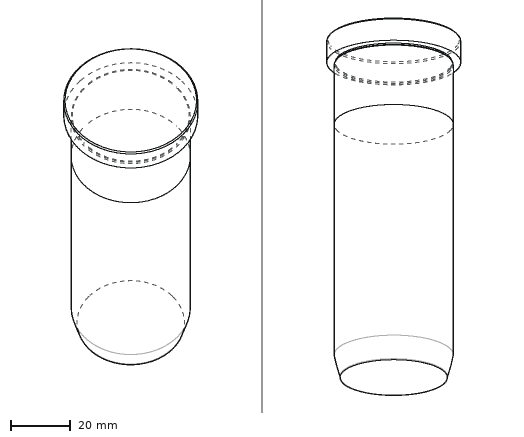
import cadquery as cq

total_length = 120.0
head_diameter = 45.0
shank_diameter = 40.0

head_height = 8.0
head_chamfer = 0.5
groove_width = 0.8
groove_depth = 0.4

upper_length = 30.0
nose_length = 8.0

nose_tip_diameter = 36.0
nose_mid_inset = 0.8
nose_land = 0.4

head_radius = head_diameter / 2
shank_radius = shank_diameter / 2
groove_radius = shank_radius - groove_depth
nose_tip_radius = nose_tip_diameter / 2
joint_z = total_length - upper_length
head_bottom_z = total_length - head_height
groove_bottom_z = head_bottom_z - groove_width


def make_headed_section():
    """Chamfered head with the upper shank and its relief groove."""
    profile = (
        cq.Workplane("XZ")
        .moveTo(0, joint_z)
        .lineTo(shank_radius, joint_z)
        .lineTo(shank_radius, groove_bottom_z)
        .lineTo(groove_radius, groove_bottom_z + groove_depth)
        .lineTo(groove_radius, head_bottom_z)
        .lineTo(head_radius, head_bottom_z)
        .lineTo(head_radius, total_length - head_chamfer)
        .lineTo(head_radius - head_chamfer, total_length)
        .lineTo(0, total_length)
        .close()
    )
    return profile.revolve(360, (0, 0, 0), (0, 1, 0))


def make_guide_section():
    """Lower shank ending in a slightly convex, narrowing nose."""
    profile = (
        cq.Workplane("XZ")
        .lineTo(nose_tip_radius, 0)
        .lineTo(nose_tip_radius, nose_land)
        .threePointArc(
            (shank_radius - nose_mid_inset, (nose_land + nose_length) / 2),
            (shank_radius, nose_length),
        )
        .lineTo(shank_radius, joint_z)
        .lineTo(0, joint_z)
        .close()
    )
    return profile.revolve(360, (0, 0, 0), (0, 1, 0))


headed_section = make_headed_section()
guide_section = make_guide_section()

result = cq.Compound.makeCompound([headed_section.val(), guide_section.val()])